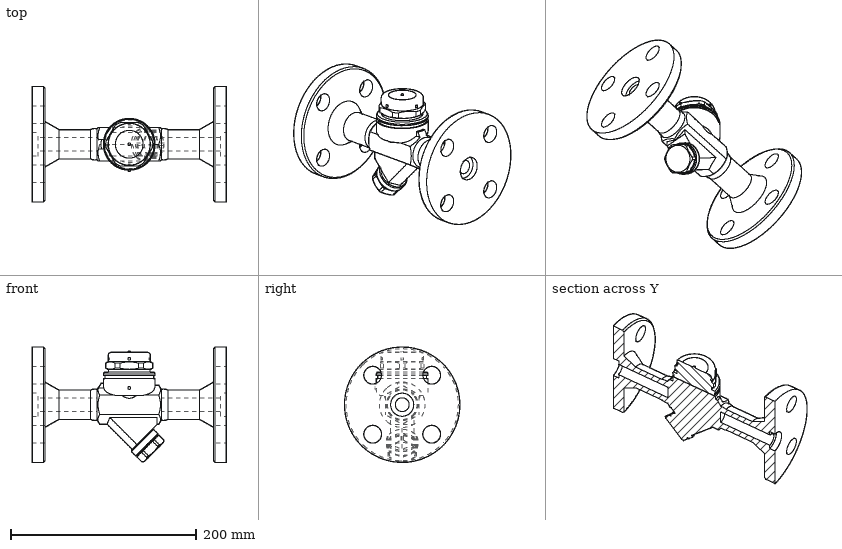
import cadquery as cq
import math


length = 210.0
flange_diameter = 125.0
flange_thickness = 14.0
flange_chamfer = 1.9
bolt_circle_diameter = 90.0
bolt_hole_diameter = 19.0
bolt_hole_count = 4
first_bolt_angle = 45.0
hub_diameter = 49.1
hub_length = 15.1
pipe_diameter = 32.0
socket_diameter = 25.0
socket_depth = 6.7
bore_diameter = 15.0

block_flats = 36.5
cone_start_x = 29.6
cone_start_diameter = 49.1
cone_end_x = 34.6
cone_end_diameter = 33.5
bead_peak_x = 38.6
bead_peak_diameter = 34.0
bead_end_x = 41.8
bore_end_x = cone_end_x
tab_width = 10.3
tab_top_z = 23.3
tab_start_x = -33.5

bowl_diameter = 56.0
bowl_top_z = 28.1
bowl_bottom_z = 9.9
bowl_fillet = 6.0
bowl_cone_top_diameter = 39.5
bowl_cone_bottom_diameter = 36.5
bowl_cone_bottom_z = 7.0
nub_diameter = 3.0
bowl_nub_z = 18.0

branch_angle = 45.0
branch_axis_offset = 17.2
branch_flats = 25.5
branch_start = -10.5
branch_end = 36.3
branch_side_x = 30.0
collar_diameter = 34.0
collar_length = 8.6
collar_chamfer = 1.0
plug_flats = 30.5
plug_corner_diameter = 33.5
plug_hex_length = 9.5
plug_neck_length = 0.6
plug_neck_diameter = 30.2

spigot_diameter = 53.0
ring_bottom_z = 31.5
ring_top_z = 35.3
ring_chamfer_height = 2.0
ring_chamfer_width = 1.0
neck_diameter = 45.0
hex_bottom_z = 37.8
hex_top_z = 46.6
hex_flats = 46.8
hex_corner_diameter = 50.8
cap_diameter = 45.5
cap_top_z = 56.7
cap_fillet = 3.4
cap_recess_diameter = 30.0
cap_recess_depth = 0.2
dimple_diameter = 3.0
dimple_z = 49.5
dimple_count = 4

flats_to_corners = 1 / math.cos(math.pi / 6)
hex_chamfer_slope = math.tan(math.radians(30))
hex_chamfer_reach = 1.4


def cylinder_z(diameter, bottom, top):
    return cq.Workplane("XY").workplane(offset=bottom).circle(diameter / 2).extrude(top - bottom)


def hexagon_nut(flats, corner_diameter, height, bottom_chamfered):
    """Hexagon along +Z from z = 0, flats facing +Y and -Y, with its corners turned round and chamfered."""
    hexagon = cq.Workplane("XY").polygon(6, flats * flats_to_corners).extrude(height)
    chamfer_width = hex_chamfer_reach * (corner_diameter - flats) / 2
    chamfer_height = chamfer_width * hex_chamfer_slope
    turned = cq.Workplane("XY").circle(corner_diameter / 2).extrude(height)
    turned = turned.edges("%CIRCLE" if bottom_chamfered else ">Z").chamfer(chamfer_height, chamfer_width)
    return hexagon.intersect(turned)


def pipe_end():
    """Flange, hub and pipe on the +X side, turned about X."""
    flange_back = length / 2 - flange_thickness
    hub_end = flange_back - hub_length
    pipe_radius = pipe_diameter / 2
    flange_radius = flange_diameter / 2
    turned = (
        cq.Workplane("XY")
        .lineTo(length / 2, 0)
        .lineTo(length / 2, flange_radius)
        .lineTo(flange_back + flange_chamfer, flange_radius)
        .lineTo(flange_back, flange_radius - flange_chamfer)
        .lineTo(flange_back, hub_diameter / 2)
        .lineTo(hub_end, pipe_radius)
        .lineTo(0, pipe_radius)
        .close()
        .revolve(360, (0, 0), (1, 0))
    )
    face = cq.Workplane("YZ").workplane(offset=length / 2)
    bolt_holes = (
        face.polarArray(bolt_circle_diameter / 2, first_bolt_angle, 360, bolt_hole_count)
        .circle(bolt_hole_diameter / 2)
        .extrude(-flange_thickness)
    )
    return turned.cut(bolt_holes)


def bore():
    """Socket and blind bore in the +X pipe end."""
    face = cq.Workplane("YZ").workplane(offset=length / 2)
    socket = face.circle(socket_diameter / 2).extrude(-socket_depth)
    passage = face.circle(bore_diameter / 2).extrude(bore_end_x - length / 2)
    return socket.union(passage)


def both_ends(shape):
    return shape.union(shape.mirror("YZ"))


def centre_block():
    """Hexagonal bar with an upright tab near its -X end, both ends turned down."""
    bar = (
        cq.Workplane("YZ")
        .polygon(6, block_flats * flats_to_corners)
        .extrude(bead_end_x, both=True)
        .rotate((0, 0, 0), (1, 0, 0), 90)
    )
    tab = cq.Workplane("XY").box(-tab_start_x, tab_width, tab_top_z, centered=(False, True, False))
    bar = bar.union(tab.translate((tab_start_x, 0, 0)))
    envelope = (
        cq.Workplane("XY")
        .lineTo(bead_end_x, 0)
        .lineTo(bead_end_x, pipe_diameter / 2)
        .threePointArc((bead_peak_x, bead_peak_diameter / 2), (cone_end_x, cone_end_diameter / 2))
        .lineTo(cone_start_x, cone_start_diameter / 2)
        .lineTo(0, cone_start_diameter / 2)
        .close()
        .revolve(360, (0, 0), (1, 0))
    )
    return bar.intersect(both_ends(envelope))


def bowl():
    cup = cylinder_z(bowl_diameter, bowl_bottom_z, bowl_top_z).faces("<Z").edges().fillet(bowl_fillet)
    cone = (
        cq.Workplane("XY")
        .workplane(offset=bowl_cone_bottom_z)
        .circle(bowl_cone_bottom_diameter / 2)
        .workplane(offset=bowl_bottom_z - bowl_cone_bottom_z)
        .circle(bowl_cone_top_diameter / 2)
        .loft(ruled=True)
    )
    nub = cq.Workplane("XY").sphere(nub_diameter / 2).translate((0, -bowl_diameter / 2, bowl_nub_z))
    return cup.union(cone).union(nub)


def along_branch(shape):
    """Moves a shape built along +Z onto the branch axis, which slopes down toward +X."""
    turned = shape.rotate((0, 0, 0), (0, 1, 0), 180 - branch_angle)
    offset = branch_axis_offset * math.sqrt(0.5)
    return turned.translate((-offset, 0, -offset))


def branch():
    """Branch with upright flanks and a ridge below, trimmed by a plane across the pipe axis."""
    corner_radius = branch_flats / 2 * flats_to_corners
    half_width = branch_flats / 2
    closed_side = -block_flats
    prism = (
        cq.Workplane("XY")
        .workplane(offset=branch_start)
        .polyline(
            [
                (closed_side, -half_width),
                (corner_radius / 2, -half_width),
                (corner_radius, 0),
                (corner_radius / 2, half_width),
                (closed_side, half_width),
            ]
        )
        .close()
        .extrude(branch_end - branch_start)
    )
    below_axis = cq.Workplane("XY").box(length, length, length, centered=(True, True, False))
    below_axis = below_axis.translate((branch_side_x - length / 2, 0, -length))
    return along_branch(prism).intersect(below_axis)


def plug():
    """Strainer plug: a chamfered collar, a short neck and a hexagonal head."""
    neck_start = branch_end + collar_length
    head_start = neck_start + plug_neck_length
    collar = cylinder_z(collar_diameter, branch_end, neck_start).edges().chamfer(collar_chamfer)
    neck = cylinder_z(plug_neck_diameter, neck_start, head_start)
    head = hexagon_nut(plug_flats, plug_corner_diameter, plug_hex_length, False).translate((0, 0, head_start))
    return along_branch(collar.union(neck).union(head))


def make_housing():
    body = both_ends(pipe_end()).union(centre_block()).union(bowl()).union(branch()).union(plug())
    return body.cut(bore()).cut(bore().mirror("YZ"))


def make_cover():
    spigot = cylinder_z(spigot_diameter, bowl_top_z, ring_bottom_z)
    ring = cylinder_z(bowl_diameter, ring_bottom_z, ring_top_z)
    ring = ring.faces(">Z").edges().chamfer(ring_chamfer_height, ring_chamfer_width)
    neck = cylinder_z(neck_diameter, ring_top_z, hex_bottom_z)
    nut = hexagon_nut(hex_flats, hex_corner_diameter, hex_top_z - hex_bottom_z, True)
    cap = cylinder_z(cap_diameter, hex_top_z, cap_top_z).faces(">Z").edges().fillet(cap_fillet)
    cap = cap.cut(cylinder_z(cap_recess_diameter, cap_top_z - cap_recess_depth, cap_top_z))
    dimple = cq.Workplane("XY").sphere(dimple_diameter / 2).translate((0, -cap_diameter / 2, dimple_z))
    for index in range(dimple_count):
        cap = cap.cut(dimple.rotate((0, 0, 0), (0, 0, 1), index * 360 / dimple_count))
    nub = cq.Workplane("XY").sphere(nub_diameter / 2).translate((0, 0, cap_top_z - cap_recess_depth))
    return spigot.union(ring).union(neck).union(nut.translate((0, 0, hex_bottom_z))).union(cap).union(nub)


housing = make_housing()
cover = make_cover()
result = cq.Compound.makeCompound([housing.val(), cover.val()])